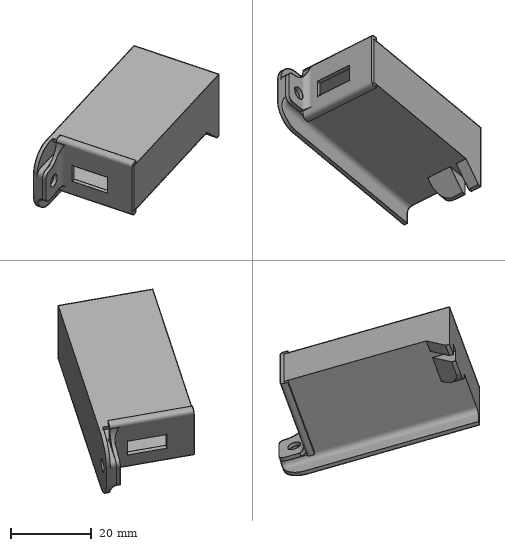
import cadquery as cq
import math

width = 24.0
length = 51.0
height = 19.0
wall = 1.0

plate_radius = 6.25
floor_bottom = 5.0

spacer_right = 2.55
lug_top = 14.0
lug_radius = 1.55
under_fillet = 1.55
hole_diameter = 3.3
hole_y = 4.0
hole_z = height / 2

cover_back = 8.0
cover_front = cover_back - wall
lip_overlap = 0.95
lip_thickness = 0.95
lip_radius = lip_thickness
cover_fillet = 1.55
ear_top_radius = cover_front - lug_radius
ear_relief_height = 1.3
window_x = 7.05
window_z = 8.6
window_width = 10.0
window_height = 4.9

tab_left = 12.05
tab_slot_left = 19.05
tab_slot_right = 20.95
tab_tip = wall
tab_radius = 4.0

seam_tolerance = 0.005


def box(x0, x1, y0, y1, z0, z1):
    """Box between two opposite corners."""
    return cq.Workplane("XY").box(x1 - x0, y1 - y0, z1 - z0, centered=False).translate((x0, y0, z0))


def side_profile(x):
    """Sketch plane facing +X at the given x; its coordinates are (y, z)."""
    return cq.Workplane("YZ", origin=(x, 0, 0))


def lug_hole():
    return side_profile(0).center(hole_y, hole_z).circle(hole_diameter / 2).extrude(spacer_right + wall)


def side_plate_outline(thickness):
    """Side plate shape with its two front corners rounded."""
    plate = box(0, thickness, 0, length, 0, height)
    return plate.edges("|X and <Y").fillet(plate_radius)


def housing_shell():
    """Side plate and box, with a fillet in the corner below the floor and lug."""
    margin = 2 * under_fillet
    plate = box(0, wall, -margin, length, 0, height)
    block = box(wall, width, 0, length, floor_bottom, height)
    block = block.edges("|X and <Y and <Z").fillet(lug_radius)
    shell = plate.union(block)
    seam = cq.selectors.BoxSelector(
        (wall - seam_tolerance, -seam_tolerance, floor_bottom - seam_tolerance),
        (wall + seam_tolerance, length + seam_tolerance, height - seam_tolerance),
        boundingbox=False,
    )
    shell = shell.edges(seam).edges("not >Y").fillet(under_fillet)
    return shell.intersect(side_plate_outline(width))


def lug_clearance():
    """Space above the lug, ahead of the box."""
    lug = box(wall, width, 0, cover_back, 0, lug_top)
    lug = lug.edges("|X and <Y and >Z").fillet(lug_radius)
    return box(wall, width, 0, cover_back, 0, height).cut(lug)


def tab(x0, x1):
    """Tab hanging below the floor, with a ramp in front."""
    toe = length - tab_tip
    return (
        side_profile(x0)
        .polyline([(toe - floor_bottom, floor_bottom), (toe, 0), (length, 0), (length, floor_bottom)])
        .close()
        .extrude(x1 - x0)
    )


def tabs():
    inner = tab(tab_left, tab_slot_left)
    corner_rounding = box(tab_left, tab_slot_left, 0, length, 0, 2 * floor_bottom)
    corner_rounding = corner_rounding.edges("|Y and <X and <Z").fillet(tab_radius)
    return inner.intersect(corner_rounding).union(tab(tab_slot_right, width))


def make_housing():
    cavity = box(wall, width - wall, cover_back, length - wall, floor_bottom + wall, height - wall)
    cover_space = box(spacer_right, width, 0, cover_back, 0, height)
    shell = housing_shell().cut(cavity).cut(cover_space).cut(lug_clearance())
    return shell.union(tabs()).cut(lug_hole())


def cover_panel():
    """Front panel whose top and bottom lips wrap over the roof and floor."""
    top = height + lip_thickness
    bottom = floor_bottom - lip_thickness
    panel = box(spacer_right, width, cover_front, cover_back + lip_overlap, bottom, top)
    panel = panel.edges("|X and <Y").fillet(lip_radius)
    box_recess = box(spacer_right, width, cover_back, length, floor_bottom, height)
    return panel.cut(box_recess)


def cover_window():
    return box(
        window_x, window_x + window_width, cover_front, cover_back, window_z, window_z + window_height
    )


def ear_outline(thickness):
    """Ear shape seen from the side: rounded nose and a concave sweep up to the panel."""
    diagonal = math.sqrt(0.5)
    sweep_center_z = lug_top + ear_top_radius
    sweep_mid = (
        lug_radius + ear_top_radius * diagonal,
        sweep_center_z - ear_top_radius * diagonal,
    )
    sweep_end_y = lug_radius + math.sqrt(ear_top_radius**2 - (sweep_center_z - height) ** 2)
    nose_inset = lug_radius * (1 - diagonal)
    return (
        side_profile(spacer_right)
        .moveTo(lug_radius, floor_bottom)
        .lineTo(cover_front - cover_fillet, floor_bottom)
        .lineTo(cover_front, floor_bottom + ear_relief_height)
        .lineTo(cover_front, height)
        .lineTo(sweep_end_y, height)
        .threePointArc(sweep_mid, (lug_radius, lug_top))
        .threePointArc((nose_inset, lug_top - nose_inset), (0, lug_top - lug_radius))
        .lineTo(0, floor_bottom + lug_radius)
        .threePointArc((nose_inset, floor_bottom + nose_inset), (lug_radius, floor_bottom))
        .close()
        .extrude(thickness)
    )


def cover_ear():
    """Ear with a concave fillet into the panel front."""
    ear_right = spacer_right + wall
    fillet_end = ear_right + cover_fillet
    opening = box(ear_right, fillet_end + wall, -wall, cover_front, 0, 2 * height)
    opening = opening.edges("|Z and <X and >Y").fillet(cover_fillet)
    return ear_outline(wall + cover_fillet).cut(opening)


def make_cover():
    return cover_panel().union(cover_ear()).cut(cover_window()).cut(lug_hole())


housing = make_housing()
cover = make_cover()

result = cq.Compound.makeCompound([housing.solids().val(), cover.solids().val()])